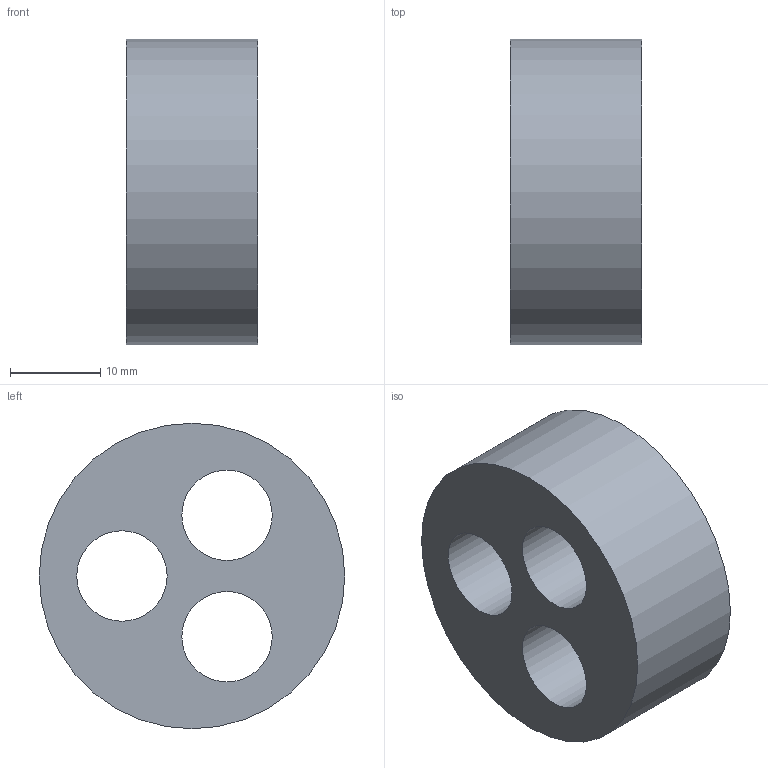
import cadquery as cq

disc_diameter = 33.8
disc_thickness = 14.5

hole_diameter = 10.0
hole_count = 3
hole_circle_radius = 7.75


def make_disc():
    """Plain disc standing on the YZ plane and growing toward +X."""
    return cq.Workplane("YZ").circle(disc_diameter / 2).extrude(disc_thickness)


def make_holes():
    """Cylinders that fill the through holes."""
    return (
        cq.Workplane("YZ")
        .polarArray(hole_circle_radius, 0, 360, hole_count)
        .circle(hole_diameter / 2)
        .extrude(disc_thickness)
    )


result = make_disc().cut(make_holes())